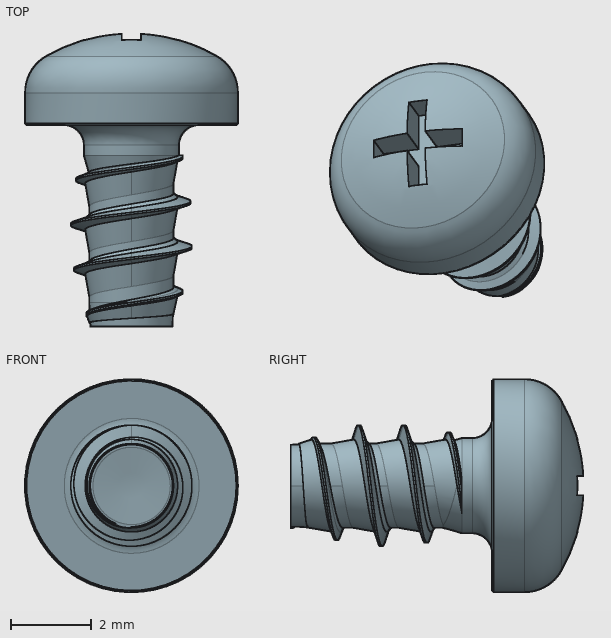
import cadquery as cq
import math


head_radius = 2.648
head_height = 2.283
rim_height = 0.807
shoulder_radius = 1.05
underside_chamfer = 0.045

recess_slot_width = 0.47
recess_span = 2.3
recess_depth = 1.0

neck_radius = 1.185
neck_fillet = 0.49
neck_end = -0.745
core_start = -1.22
core_radius = 1.05
tip_taper_start = -4.4
tip_radius = 1.02
tip_y = -5.0
dimple_radius = 0.96
dimple_depth = 0.07

pitch = 1.118
thread_start_y = -0.79
fade_turn = 2.25
fade_end_turn = 3.75
start_crest_radius = 1.28
full_crest_radius = 1.504
end_crest_radius = 1.05
crest_growth = 0.19
segment_ends = [-0.25, 0.25, 1.25, fade_turn, 3.25, fade_end_turn]
samples_per_turn = 24

crest_half_width = 0.025
upper_root = -0.21
upper_knee = -0.11
lower_knee = 0.105
slope_length = 0.58
last_slope_share = 0.1
slope_fade_rate = 1.6
knee_radius = 1.149
low_knee_share = 0.7
root_sink = 0.003
buried_radius = 0.98


def head():
    """Pan head: rim, shoulder arc and a dome tangent to the shoulder."""
    center_x = head_radius - shoulder_radius
    rise = head_height - rim_height
    dome_radius = (rise**2 + center_x**2 - shoulder_radius**2) / (2 * (rise - shoulder_radius))
    dome_center_y = head_height - dome_radius
    tangent_angle = math.atan2(rim_height - dome_center_y, center_x)
    middle_shoulder = tangent_angle / 2
    middle_dome = (tangent_angle + math.pi / 2) / 2

    def on_shoulder(angle):
        return (
            center_x + shoulder_radius * math.cos(angle),
            rim_height + shoulder_radius * math.sin(angle),
        )

    def on_dome(angle):
        return (dome_radius * math.cos(angle), dome_center_y + dome_radius * math.sin(angle))

    outline = (
        cq.Workplane("XY")
        .lineTo(head_radius - underside_chamfer, 0)
        .lineTo(head_radius, underside_chamfer)
        .lineTo(head_radius, rim_height)
        .threePointArc(on_shoulder(middle_shoulder), on_shoulder(tangent_angle))
        .threePointArc(on_dome(middle_dome), (0, head_height))
        .close()
    )
    return outline.revolve(360, (0, 0), (0, 1))


def shank():
    """Filleted neck, taper to the core, core cylinder and slightly tapered, dimpled tip."""
    fillet_outer = neck_radius + neck_fillet
    diagonal = neck_fillet * math.sqrt(0.5)
    fillet_middle = (fillet_outer - diagonal, diagonal - neck_fillet)
    outline = (
        cq.Workplane("XY")
        .moveTo(0, underside_chamfer)
        .lineTo(fillet_outer, underside_chamfer)
        .lineTo(fillet_outer, 0)
        .threePointArc(fillet_middle, (neck_radius, -neck_fillet))
        .lineTo(neck_radius, neck_end)
        .lineTo(core_radius, core_start)
        .lineTo(core_radius, tip_taper_start)
        .lineTo(tip_radius, tip_y)
        .lineTo(dimple_radius, tip_y)
        .lineTo(0, tip_y + dimple_depth)
        .close()
    )
    return outline.revolve(360, (0, 0), (0, 1))


def cross_recess():
    """Two crossed slots sunk into the dome."""
    floor = cq.Workplane("XZ", origin=(0, head_height - recess_depth, 0))
    slot_x = floor.rect(recess_span, recess_slot_width).extrude(-recess_depth)
    slot_z = floor.rect(recess_slot_width, recess_span).extrude(-recess_depth)
    return slot_x.union(slot_z)


def fade_share(turn):
    """Falls from 1 to 0 over the stretch where the thread sinks; above 1 before it."""
    return (fade_end_turn - turn) / (fade_end_turn - fade_turn)


def crest_radius(turn):
    """Crest grows after the start, stays full, then sinks into the core at the tip."""
    growing = start_crest_radius + crest_growth * max(turn, 0)
    sinking = end_crest_radius + (full_crest_radius - end_crest_radius) * fade_share(turn)
    return min(growing, full_crest_radius, sinking)


def thread_profile(turn):
    """Corners (axial offset, radius) of the thread section at the given turn."""
    root = core_radius - root_sink
    crest = crest_radius(turn)
    height = (crest - root) / (full_crest_radius - root)
    knee = min(knee_radius, root + low_knee_share * (crest - root))
    knee_offset = lower_knee * height + crest_half_width
    slope_share = max(last_slope_share, min(1, slope_fade_rate * fade_share(turn)))
    lower_root = knee_offset + slope_length * slope_share
    return [
        (upper_root * height - crest_half_width, buried_radius),
        (upper_root * height - crest_half_width, root),
        (upper_knee * height - crest_half_width, knee),
        (-crest_half_width, crest),
        (crest_half_width, crest),
        (knee_offset, knee),
        (lower_root, root),
        (lower_root, buried_radius),
    ]


def thread_point(turn, corner):
    """Position of one profile corner at the given turn."""
    offset, radius = thread_profile(turn)[corner]
    angle = 2 * math.pi * turn
    y = thread_start_y - pitch * turn - offset
    return cq.Vector(radius * math.cos(angle), y, radius * math.sin(angle))


def thread_segment(first, last):
    """Helical body bounded by ruled faces between the paths of the profile corners."""
    steps = round((last - first) * samples_per_turn)
    turns = [first + (last - first) * i / steps for i in range(steps + 1)]
    corner_count = len(thread_profile(first))
    paths = [
        cq.Edge.makeSpline([thread_point(t, c) for t in turns], parameters=turns)
        for c in range(corner_count)
    ]
    faces = [
        cq.Face.makeRuledSurface(paths[c], paths[(c + 1) % corner_count])
        for c in range(corner_count)
    ]
    for turn in (first, last):
        corners = [thread_point(turn, c) for c in range(corner_count)]
        faces.append(cq.Face.makeFromWires(cq.Wire.makePolygon(corners, close=True)))
    body = cq.Solid.makeSolid(cq.Shell.makeShell(faces))
    return cq.Workplane(body.fix())


def thread_zone():
    """Cylinder that trims the thread to the stretch between neck and tip."""
    return (
        cq.Workplane("XZ", origin=(0, neck_end, 0))
        .circle(head_radius)
        .extrude(neck_end - tip_y)
    )


result = shank()
for first, last in zip(segment_ends, segment_ends[1:]):
    result = result.union(thread_segment(first, last).intersect(thread_zone()))
result = result.union(head().cut(cross_recess()))